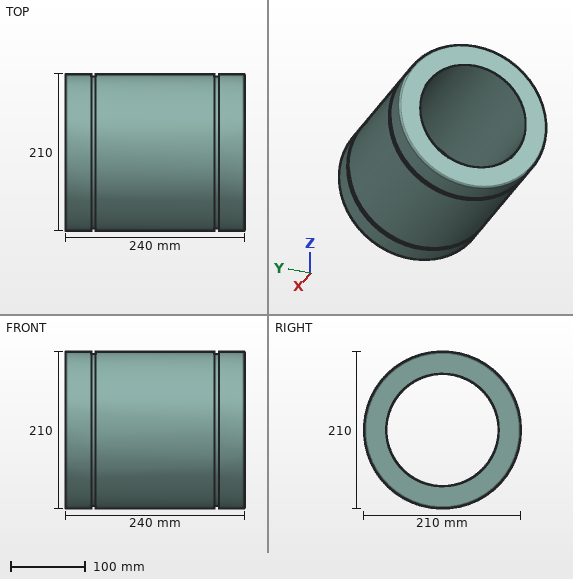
import cadquery as cq

length = 240.0
outer_diameter = 210.0
bore_diameter = 150.0
end_fillet = 2.5

groove_width = 5.8
groove_diameter = 203.8
groove_outer_span = 170.5


def cylinder_along_x(diameter, start, width):
    return cq.Workplane("YZ").workplane(offset=start).circle(diameter / 2).extrude(width)


def groove_cutter(start):
    outside = cylinder_along_x(outer_diameter, start, groove_width)
    return outside.cut(cylinder_along_x(groove_diameter, start, groove_width))


sleeve = cylinder_along_x(outer_diameter, -length / 2, length)
sleeve = sleeve.faces("<X or >X").edges().fillet(end_fillet)

sleeve = sleeve.cut(cylinder_along_x(bore_diameter, -length / 2, length))

groove_outer_wall = groove_outer_span / 2
for groove_start in (-groove_outer_wall, groove_outer_wall - groove_width):
    sleeve = sleeve.cut(groove_cutter(groove_start))

result = sleeve